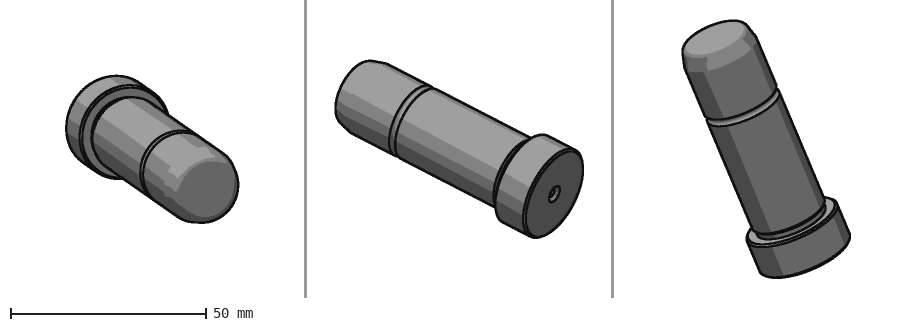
import cadquery as cq
import math

TOTAL_LENGTH = 65.0
HEAD_LENGTH = 10.0
HEAD_RADIUS = 25.0 / 2
HEAD_CHAMFER = 0.5

SHANK_RADIUS = 10.0
NECK_RADIUS = 9.5
NECK_CONE_START = 11.45
SHANK_START = 12.0

GROOVE_START = 43.95
GROOVE_WIDTH = 1.95
GROOVE_DEPTH = 0.7

TAPER_START = 59.9
TAPER_END = 63.45
TAPER_END_RADIUS = 9.1
TIP_FACE_RADIUS = 7.2

CENTRE_MOUTH_RADIUS = 2.3
CENTRE_DRILL_RADIUS = 1.3
CENTRE_DRILL_DEPTH = 3.0
COUNTERSINK_HALF_ANGLE = math.radians(45)
DRILL_POINT_HALF_ANGLE = math.radians(60)


def pin_body():
    """Revolve the half profile of the pin about the X axis."""
    groove_end = GROOVE_START + GROOVE_WIDTH
    groove_middle = GROOVE_START + GROOVE_WIDTH / 2
    profile = (
        cq.Workplane("XZ")
        .lineTo(0, HEAD_RADIUS - HEAD_CHAMFER)
        .lineTo(HEAD_CHAMFER, HEAD_RADIUS)
        .lineTo(HEAD_LENGTH - HEAD_CHAMFER, HEAD_RADIUS)
        .lineTo(HEAD_LENGTH, HEAD_RADIUS - HEAD_CHAMFER)
        .lineTo(HEAD_LENGTH, NECK_RADIUS)
        .lineTo(NECK_CONE_START, NECK_RADIUS)
        .lineTo(SHANK_START, SHANK_RADIUS)
        .lineTo(GROOVE_START, SHANK_RADIUS)
        .threePointArc(
            (groove_middle, SHANK_RADIUS - GROOVE_DEPTH),
            (groove_end, SHANK_RADIUS),
        )
        .lineTo(TAPER_START, SHANK_RADIUS)
        .lineTo(TAPER_END, TAPER_END_RADIUS)
        .tangentArcPoint((TOTAL_LENGTH, TIP_FACE_RADIUS), relative=False)
        .lineTo(TOTAL_LENGTH, 0)
        .close()
    )
    return profile.revolve(360, (0, 0, 0), (1, 0, 0))


def centre_hole():
    """Countersunk pilot hole with a conical drill point."""
    countersink_depth = (CENTRE_MOUTH_RADIUS - CENTRE_DRILL_RADIUS) / math.tan(COUNTERSINK_HALF_ANGLE)
    point_length = CENTRE_DRILL_RADIUS / math.tan(DRILL_POINT_HALF_ANGLE)
    profile = (
        cq.Workplane("XZ")
        .lineTo(0, CENTRE_MOUTH_RADIUS)
        .lineTo(countersink_depth, CENTRE_DRILL_RADIUS)
        .lineTo(CENTRE_DRILL_DEPTH, CENTRE_DRILL_RADIUS)
        .lineTo(CENTRE_DRILL_DEPTH + point_length, 0)
        .close()
    )
    return profile.revolve(360, (0, 0, 0), (1, 0, 0))


result = pin_body().cut(centre_hole())